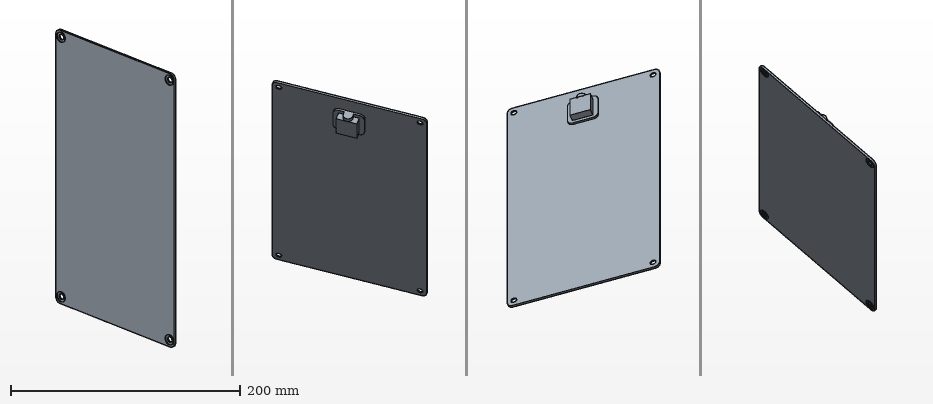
import cadquery as cq

plate_width = 141.3
plate_height = 263.5
plate_thickness = 2.0
corner_radius = 5.0

hole_inset_x = 6.0
hole_inset_z = 6.5
hole_diameter = 5.3
bore_diameter = 9.5
bore_depth = 0.8

total_depth = 10.5
flange_size = 28.5
flange_thickness = 1.8
flange_top_drop = 15.5
block_width = 19.0
block_height = 21.3
tongue_width = 9.0
tongue_height = 4.0

flange_top = plate_height / 2 - flange_top_drop
flange_center = flange_top - flange_size / 2
flange_back = plate_thickness + flange_thickness
block_top = flange_top - tongue_height
block_center = block_top - block_height / 2


def slab(width, height, center_z, front, back):
    """Block centred on X, spanning front to back along Y."""
    return (
        cq.Workplane("XY")
        .box(width, back - front, height)
        .translate((0, (front + back) / 2, center_z))
    )


def make_plate():
    plate = slab(plate_width, plate_height, 0, 0, plate_thickness)
    plate = plate.edges("|Y").fillet(corner_radius)
    return (
        plate.faces("<Y")
        .workplane(centerOption="CenterOfBoundBox")
        .rect(plate_width - 2 * hole_inset_x, plate_height - 2 * hole_inset_z, forConstruction=True)
        .vertices()
        .cboreHole(hole_diameter, bore_diameter, bore_depth)
    )


def make_tongue():
    """Round-backed tongue standing on the top end of the block."""
    radius = tongue_width / 2
    return (
        cq.Workplane("XY", origin=(0, 0, block_top))
        .moveTo(-radius, plate_thickness)
        .lineTo(-radius, total_depth - radius)
        .threePointArc((0, total_depth), (radius, total_depth - radius))
        .lineTo(radius, plate_thickness)
        .close()
        .extrude(tongue_height)
    )


flange = slab(flange_size, flange_size, flange_center, plate_thickness, flange_back)
flange = flange.edges("|Y").fillet(corner_radius)
block = slab(block_width, block_height, block_center, plate_thickness, total_depth)

result = make_plate().union(flange).union(block).union(make_tongue())